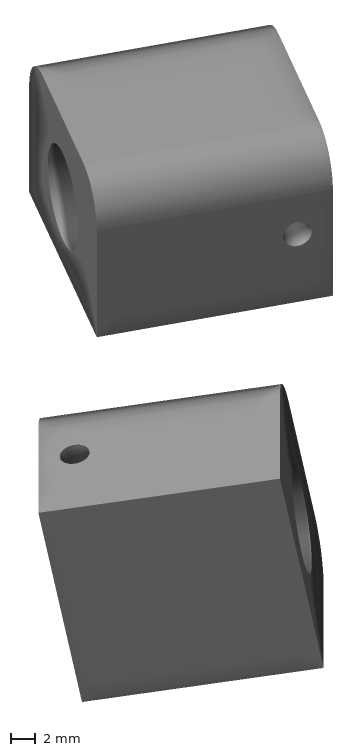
import cadquery as cq

width = 20.0
depth = 20.0
height = 15.0
edge_radius = 4.0

bore_diameter = 8.92
bore_height = 7.0

cross_hole_diameter = 2.45
cross_hole_inset = 3.0
cross_hole_y = depth / 2 - cross_hole_inset


def make_block():
    """Block centred in X and Y, resting on Z = 0, with its two long top edges rounded."""
    block = cq.Workplane("XY").box(width, depth, height, centered=(True, True, False))
    return block.faces(">Z").edges("|Y").fillet(edge_radius)


def make_bore():
    """Cylinder running the full depth of the block."""
    return (
        cq.Workplane("XZ", origin=(0, depth / 2, bore_height))
        .circle(bore_diameter / 2)
        .extrude(depth)
    )


def make_cross_hole():
    """Cylinder running through both side walls."""
    return (
        cq.Workplane("YZ", origin=(-width / 2, cross_hole_y, bore_height))
        .circle(cross_hole_diameter / 2)
        .extrude(width)
    )


result = make_block().cut(make_bore()).cut(make_cross_hole())